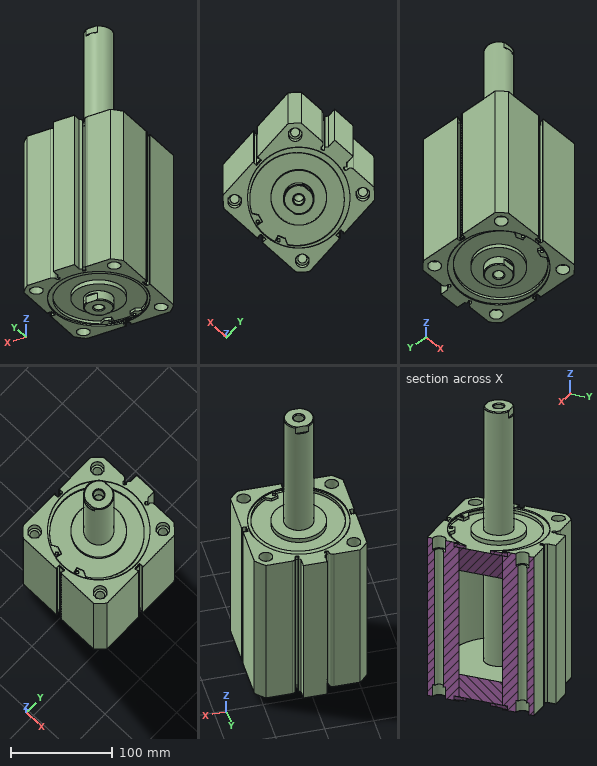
import cadquery as cq
import math

HOUSING_WIDTH = 115.0
HOUSING_LENGTH = 174.5
HALF_WIDTH = HOUSING_WIDTH / 2
CORNER_RADIUS = 75.0
BORE_RADIUS = 50.5

OVERALL_DEPTH = 124.0
RAIL_HALF_WIDTH = 12.0
RAIL_TOP = OVERALL_DEPTH - HALF_WIDTH
RAIL_BULGE = 14.5
RAIL_FOOT = 13.0
GROOVE_WALL = 17.0
GROOVE_FLARE = 4.0
GROOVE_DEPTH = 6.5
GROOVE_FLOOR_HEIGHT = 2.0

SLOT_DEPTH = 4.8
SLOT_WIDTH = 6.7
SLOT_MOUTH = 5.0
SLOT_LIP = 1.0

BOLT_OFFSET = 44.8
BOLT_RADIUS = 4.5
COUNTERBORE_RADIUS = 6.7
COUNTERBORE_DEPTH = 12.8

RING_SETBACK = 1.5
RING_THICKNESS = 3.2
RING_OUTER_RADIUS = 53.0
RING_INNER_RADIUS = 46.7
RING_ECCENTRICITY = 2.5
EAR_INNER_RADIUS = 43.5
EAR_START_ANGLE = 14.0
EAR_END_ANGLE = 24.0
EAR_ROOT_ANGLE = 29.0
EAR_ROOT_RADIUS = 49.3
EAR_HOLE_ANGLE = 17.0
EAR_HOLE_CENTER_RADIUS = 47.5
EAR_HOLE_RADIUS = 1.5

COVER_SETBACK = RING_SETBACK + RING_THICKNESS
COVER_THICKNESS = 25.5
BOSS_RADIUS = 27.5

TOTAL_LENGTH = 320.0
ROD_RADIUS = 15.0
ROD_BOTTOM_REACH = 10.5
ROD_CHAMFER = 1.0
FLAT_WIDTH = 27.0
FLAT_LENGTH = 8.0
TAP_RADIUS = 5.0
TAP_DEPTH = 19.2
TAP_CHAMFER = 1.0
DRILL_POINT_ANGLE = 118.0


def cylinder(radius, start, length):
    """Cylinder on the Z axis from Z = start."""
    return cq.Workplane("XY").workplane(offset=start).circle(radius).extrude(length)


def mirrored_end(body):
    """Copy of a body at the other end of the housing."""
    return body.mirror("XY", (0, 0, HOUSING_LENGTH / 2))


def t_slot():
    """T-slot cutter in the -Y face."""
    floor = -HALF_WIDTH + SLOT_DEPTH
    lip = -HALF_WIDTH + SLOT_LIP
    return (
        cq.Workplane("XY")
        .moveTo(-SLOT_MOUTH / 2, -HALF_WIDTH)
        .lineTo(-SLOT_MOUTH / 2, lip)
        .lineTo(-SLOT_WIDTH / 2, lip)
        .lineTo(-SLOT_WIDTH / 2, floor)
        .lineTo(SLOT_WIDTH / 2, floor)
        .lineTo(SLOT_WIDTH / 2, lip)
        .lineTo(SLOT_MOUTH / 2, lip)
        .lineTo(SLOT_MOUTH / 2, -HALF_WIDTH)
        .close()
        .extrude(HOUSING_LENGTH)
    )


def rail_groove():
    """Cutter for the undercut groove on the -X side of the rail."""
    floor = HALF_WIDTH - GROOVE_DEPTH
    floor_side = floor + GROOVE_FLOOR_HEIGHT
    flare_mid = GROOVE_FLARE * (1 - math.sqrt(0.5))
    bulge_rise = RAIL_BULGE - RAIL_FOOT
    bulge_top = HALF_WIDTH - (RAIL_BULGE - RAIL_HALF_WIDTH)
    return (
        cq.Workplane("XY")
        .moveTo(-GROOVE_WALL - GROOVE_FLARE, HALF_WIDTH)
        .threePointArc(
            (-GROOVE_WALL - flare_mid, HALF_WIDTH - flare_mid),
            (-GROOVE_WALL, HALF_WIDTH - GROOVE_FLARE),
        )
        .lineTo(-GROOVE_WALL, floor_side)
        .threePointArc((-(GROOVE_WALL + RAIL_FOOT) / 2, floor), (-RAIL_FOOT, floor_side))
        .lineTo(-RAIL_BULGE, floor_side + bulge_rise)
        .lineTo(-RAIL_BULGE, bulge_top)
        .lineTo(-RAIL_HALF_WIDTH, HALF_WIDTH)
        .close()
        .extrude(HOUSING_LENGTH)
    )


def ring_seat():
    """Groove cutter that holds the retaining ring at the top end."""
    return cylinder(RING_OUTER_RADIUS, HOUSING_LENGTH - COVER_SETBACK, RING_THICKNESS)


def make_housing():
    block = cq.Workplane("XY").rect(HOUSING_WIDTH, HOUSING_WIDTH).extrude(HOUSING_LENGTH)
    block = block.intersect(cylinder(CORNER_RADIUS, 0, HOUSING_LENGTH))
    rail = (
        cq.Workplane("XY")
        .rect(2 * RAIL_HALF_WIDTH, RAIL_TOP)
        .extrude(HOUSING_LENGTH)
        .translate((0, RAIL_TOP / 2, 0))
    )
    body = block.union(rail)

    for angle in (-90, 0, 90):
        body = body.cut(t_slot().rotate((0, 0, 0), (0, 0, 1), angle))
    body = body.cut(rail_groove()).cut(rail_groove().mirror("YZ"))

    body = body.cut(cylinder(BORE_RADIUS, 0, HOUSING_LENGTH))
    body = body.cut(ring_seat()).cut(mirrored_end(ring_seat()))

    for side_x in (-1, 1):
        for side_y in (-1, 1):
            place = (side_x * BOLT_OFFSET, side_y * BOLT_OFFSET, 0)
            counterbore = cylinder(COUNTERBORE_RADIUS, 0, COUNTERBORE_DEPTH)
            body = body.cut(cylinder(BOLT_RADIUS, 0, HOUSING_LENGTH).translate(place))
            body = body.cut(counterbore.translate(place))
            body = body.cut(mirrored_end(counterbore).translate(place))
    return body


def ring_point(radius, angle):
    """XY point at a radius and an angle in degrees, measured from -Y towards +X."""
    turn = math.radians(angle)
    return (radius * math.sin(turn), -radius * math.cos(turn))


def ring_plate(corners):
    """Plate of ring thickness with straight sides."""
    return cq.Workplane("XY").polyline(corners).close().extrude(RING_THICKNESS)


def make_top_ring():
    beyond = 2 * RING_OUTER_RADIUS
    disc = cylinder(RING_OUTER_RADIUS, 0, RING_THICKNESS)
    opening = cylinder(RING_INNER_RADIUS, 0, RING_THICKNESS).translate((0, -RING_ECCENTRICITY, 0))
    gap = ring_plate(
        [(0, 0), ring_point(beyond, EAR_START_ANGLE), ring_point(beyond, -EAR_START_ANGLE)]
    )
    ear = ring_plate(
        [
            ring_point(EAR_INNER_RADIUS, EAR_START_ANGLE),
            ring_point(EAR_INNER_RADIUS, EAR_END_ANGLE),
            ring_point(EAR_ROOT_RADIUS, EAR_ROOT_ANGLE),
            ring_point(beyond, EAR_ROOT_ANGLE),
            ring_point(beyond, EAR_START_ANGLE),
        ]
    ).intersect(disc)
    hole_x, hole_y = ring_point(EAR_HOLE_CENTER_RADIUS, EAR_HOLE_ANGLE)
    hole = cylinder(EAR_HOLE_RADIUS, 0, RING_THICKNESS).translate((hole_x, hole_y, 0))

    ring = disc.cut(opening).cut(gap)
    ring = ring.union(ear).union(ear.mirror("YZ"))
    ring = ring.cut(hole).cut(hole.mirror("YZ"))
    return ring.translate((0, 0, HOUSING_LENGTH - COVER_SETBACK))


def make_top_cover():
    """Disc behind the ring, with a boss flush with the housing end and a rod hole."""
    face = HOUSING_LENGTH - COVER_SETBACK
    base = face - COVER_THICKNESS
    cover = cylinder(BORE_RADIUS, base, COVER_THICKNESS)
    cover = cover.union(cylinder(BOSS_RADIUS, face, COVER_SETBACK))
    return cover.cut(cylinder(ROD_RADIUS, base, COVER_THICKNESS + COVER_SETBACK))


def tapped_hole():
    """Blind hole cutter with a drill point, opening downwards at Z = 0."""
    point_height = TAP_RADIUS / math.tan(math.radians(DRILL_POINT_ANGLE / 2))
    return (
        cq.Workplane("XZ")
        .moveTo(0, 0)
        .lineTo(TAP_RADIUS + TAP_CHAMFER, 0)
        .lineTo(TAP_RADIUS, TAP_CHAMFER)
        .lineTo(TAP_RADIUS, TAP_DEPTH)
        .lineTo(0, TAP_DEPTH + point_height)
        .close()
        .revolve(360, (0, 0, 0), (0, 1, 0))
    )


def wrench_flats():
    """Cutters for the flats on the -Y and +Y sides of a rod end that starts at Z = 0."""
    beyond = 4 * ROD_RADIUS
    return (
        cq.Workplane("XY")
        .rect(beyond, beyond)
        .rect(beyond, FLAT_WIDTH)
        .extrude(FLAT_LENGTH)
    )


def make_rod():
    rod = cylinder(ROD_RADIUS, 0, TOTAL_LENGTH)
    rod = rod.faces("<Z or >Z").chamfer(ROD_CHAMFER)
    for cutter in (wrench_flats(), tapped_hole()):
        rod = rod.cut(cutter)
        rod = rod.cut(cutter.mirror("XY", (0, 0, TOTAL_LENGTH / 2)))
    return rod.translate((0, 0, -ROD_BOTTOM_REACH))


housing = make_housing()
rod = make_rod()
covers = [make_top_cover(), mirrored_end(make_top_cover())]
rings = [make_top_ring(), mirrored_end(make_top_ring())]

result = cq.Compound.makeCompound(
    [housing.val(), rod.val()]
    + [cover.val() for cover in covers]
    + [ring.val() for ring in rings]
)